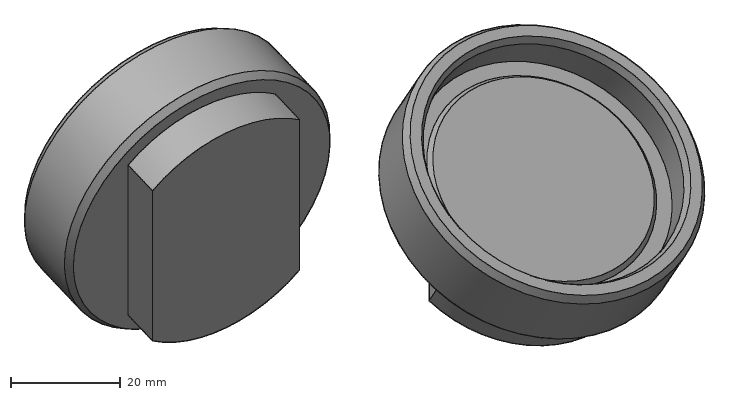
import cadquery as cq

body_diameter = 58.8
body_length = 16.0
edge_length = 1.45
edge_drop = 1.0

recess_mouth_diameter = 52.35
recess_diameter = 50.7
recess_depth = 8.0
mouth_bevel_length = 1.45

disc_base_diameter = 44.7
disc_top_diameter = 43.05
disc_height = 1.0

boss_diameter = 51.05
boss_length = 8.0
boss_width = 32.6


def turned(profile):
    """Revolve a closed (x, radius) outline about the X axis."""
    return cq.Workplane("XZ").polyline(profile).close().revolve(360, (0, 0, 0), (1, 0, 0))


def cone(x_start, x_end, start_diameter, end_diameter):
    """Solid truncated cone along X."""
    return turned([
        (x_start, 0),
        (x_start, start_diameter / 2),
        (x_end, end_diameter / 2),
        (x_end, 0),
    ])


def make_body():
    """Disc with both rim edges bevelled."""
    radius = body_diameter / 2
    return turned([
        (0, 0),
        (0, radius - edge_drop),
        (edge_length, radius),
        (body_length - edge_length, radius),
        (body_length, radius - edge_drop),
        (body_length, 0),
    ])


def make_boss():
    """Cylinder trimmed by two flats facing -Y and +Y."""
    end = body_length + boss_length
    cylinder = cone(body_length, end, boss_diameter, boss_diameter)
    slab = cq.Workplane("XY").box(2 * end, boss_width, boss_diameter)
    return cylinder.intersect(slab)


recess = cone(0, recess_depth, recess_diameter, recess_diameter)
mouth_bevel = cone(0, mouth_bevel_length, recess_mouth_diameter, recess_diameter)
disc = cone(recess_depth - disc_height, recess_depth, disc_top_diameter, disc_base_diameter)

result = make_body().cut(recess).cut(mouth_bevel).union(disc).union(make_boss())